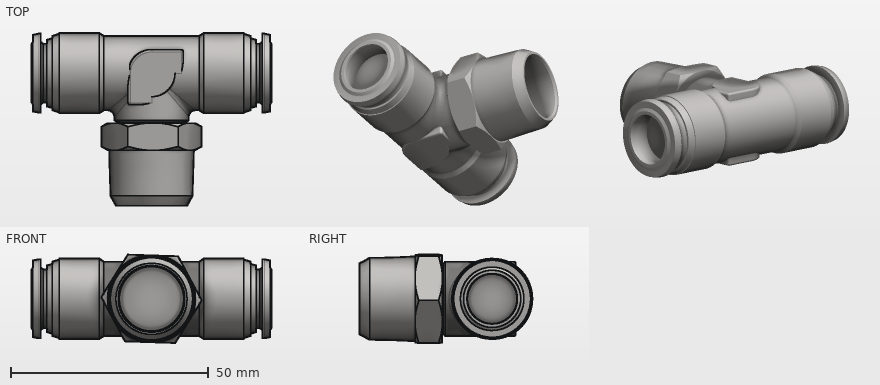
import cadquery as cq
import math

half_length = 30.4
tube_radius = 9.4

socket_start = 12.05
socket_full = 13.25
socket_end = 23.35
socket_radius = 10.2
shoulder_radius = 10.0
shoulder_end = 25.05
shoulder_end_radius = 9.4
cap_radius = 8.9
cap_end = 26.45
cap_end_radius = 8.45

collar_neck_radius = 7.5
collar_flare_start = 27.4
collar_flare_radius = 7.9
flange_start = 27.95
flange_rim_end = 28.45
flange_end = 30.0
flange_radius = 10.05
flange_end_radius = 9.7
collar_tip_base_radius = 8.0
collar_tip_radius = 7.25
tube_bore_radius = 6.25
tube_bore_mouth_radius = 6.4
tube_bore_mouth_length = 0.5
tube_bore_depth = 5.5

branch_end = 12.4
branch_end_chamfer = 0.55
branch_neck_radius = 8.15
crotch_radius = 1.6

hex_start = 12.65
hex_end = 19.45
hex_across_flats = 22.0
hex_turn = 1.9
hex_chamfer_radius = 11.1
hex_chamfer_angle = 30.0

thread_end = 33.55
thread_tip_length = 2.55
thread_radius = 10.75
thread_taper = 1 / 32
thread_tip_radius = 9.0
branch_bore_radius = 8.15
branch_bore_mouth_radius = 8.45
branch_bore_mouth_length = 0.55
branch_bore_depth = 8.0

pad_radius = 5.95
pad_corner_radius = 0.6
pad_reach = 8.0
pad_edge_radius = 0.55


def revolve_about_x(profile):
    """Turn a closed (distance, radius) profile about the run axis."""
    return cq.Workplane("XY").polyline(profile).close().revolve(360, (0, 0, 0), (1, 0, 0))


def revolve_about_branch(profile):
    """Turn a closed (distance, radius) profile about the branch axis, with distance along -Y."""
    points = [(radius, -distance) for distance, radius in profile]
    return cq.Workplane("XY").polyline(points).close().revolve(360, (0, 0, 0), (0, 1, 0))


def make_pads():
    """Plate through the crossing whose flat faces form the top and bottom pads."""
    side = pad_radius + pad_reach
    centre = (pad_reach - pad_radius) / 2
    plate = cq.Workplane("XY").box(side, side, 2 * tube_radius).translate((centre, -centre, 0))
    plate = plate.edges("|Z and (<X and >Y)").fillet(pad_radius)
    plate = plate.edges("|Z and ((>X and >Y) or (<X and <Y))").fillet(pad_corner_radius)
    plate = plate.faces("<Z or >Z").edges().fillet(pad_edge_radius)

    quarter = cq.Workplane("XY").box(side, side, 2 * tube_radius).translate((side / 2, -side / 2, 0))
    round_core = cq.Workplane("XY").circle(pad_radius).extrude(tube_radius, both=True)
    return plate.cut(quarter).union(round_core.intersect(quarter))


def make_crossing():
    """Run and branch tubes with pads, and a rounded crotch on both sides of the branch."""
    run = cq.Workplane("YZ").circle(tube_radius).extrude(socket_end, both=True)
    branch = (
        cq.Workplane("XZ").circle(tube_radius).extrude(branch_end).faces("<Y").chamfer(branch_end_chamfer)
    )
    crossing = run.union(branch).union(make_pads())

    return crossing.edges("%ELLIPSE").fillet(crotch_radius)


def make_run_end():
    """Socket and release collar at the +X end, turned about the run axis."""
    socket = [
        (socket_start, 0),
        (socket_start, tube_radius),
        (socket_full, socket_radius),
        (socket_end, socket_radius),
        (socket_end, shoulder_radius),
        (shoulder_end, shoulder_end_radius),
        (shoulder_end, cap_radius),
        (cap_end, cap_end_radius),
    ]
    collar = [
        (cap_end, collar_neck_radius),
        (collar_flare_start, collar_neck_radius),
        (flange_start, collar_flare_radius),
        (flange_start, flange_radius),
        (flange_rim_end, flange_radius),
        (flange_end, flange_end_radius),
        (flange_end, collar_tip_base_radius),
        (half_length, collar_tip_radius),
        (half_length, 0),
    ]
    return revolve_about_x(socket + collar)


def make_run_bore():
    """Blind tube bore at the +X end with a slightly flared mouth."""
    bottom = half_length - tube_bore_depth
    return revolve_about_x(
        [
            (bottom, 0),
            (bottom, tube_bore_radius),
            (half_length - tube_bore_mouth_length, tube_bore_radius),
            (half_length, tube_bore_mouth_radius),
            (half_length, 0),
        ]
    )


def make_hexagon():
    """Hexagon with 30 degree chamfers at both ends, joined to the branch by a short neck."""
    corner_radius = hex_across_flats / math.sqrt(3)
    chamfer_length = (corner_radius - hex_chamfer_radius) * math.tan(math.radians(hex_chamfer_angle))
    prism = (
        cq.Workplane("XZ")
        .workplane(offset=hex_start)
        .polygon(6, 2 * corner_radius)
        .extrude(hex_end - hex_start)
        .rotate((0, 0, 0), (0, 1, 0), hex_turn)
    )
    envelope = revolve_about_branch(
        [
            (hex_start, 0),
            (hex_start, hex_chamfer_radius),
            (hex_start + chamfer_length, corner_radius),
            (hex_end - chamfer_length, corner_radius),
            (hex_end, hex_chamfer_radius),
            (hex_end, 0),
        ]
    )
    neck = cq.Workplane("XZ").circle(branch_neck_radius).extrude(hex_end)
    return prism.intersect(envelope).union(neck)


def make_thread():
    """Tapered thread blank with a steep cone at its tip."""
    taper_length = thread_end - thread_tip_length - hex_end
    return revolve_about_branch(
        [
            (hex_end, 0),
            (hex_end, thread_radius),
            (hex_end + taper_length, thread_radius - taper_length * thread_taper),
            (thread_end, thread_tip_radius),
            (thread_end, 0),
        ]
    )


def make_branch_bore():
    """Blind bore in the thread end with a slightly flared mouth."""
    bottom = thread_end - branch_bore_depth
    return revolve_about_branch(
        [
            (bottom, 0),
            (bottom, branch_bore_radius),
            (thread_end - branch_bore_mouth_length, branch_bore_radius),
            (thread_end, branch_bore_mouth_radius),
            (thread_end, 0),
        ]
    )


run_end = make_run_end()
run_bore = make_run_bore()

result = make_crossing().union(make_hexagon()).union(make_thread())
result = result.union(run_end).union(run_end.mirror("YZ"))
result = result.cut(run_bore).cut(run_bore.mirror("YZ")).cut(make_branch_bore())